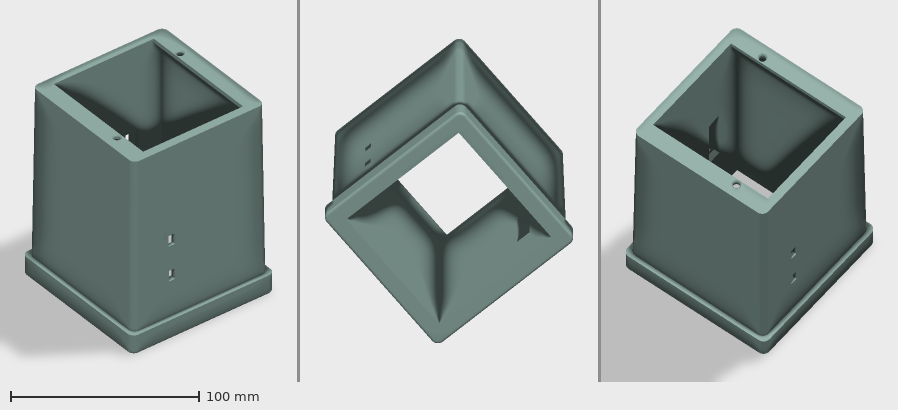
import cadquery as cq
import math

height = 122.5
flange_width = 96.0
flange_height = 12.5
flange_corner_radius = 4.2
flange_bottom_radius = 1.6

body_base_width = 90.6
body_top_width = 88.2
body_corner_radius = 3.9
body_height = height - flange_height
taper_angle = math.degrees(math.atan((body_base_width - body_top_width) / 2 / body_height))

shaft_width = 77.5
opening_depth = 67.1
lip_thickness = 2.6

screw_x = 20.0
screw_y = 36.6
screw_diameter = 3.9
countersink_diameter = 5.4
countersink_angle = 90.0

slot_y = 19.0
slot_width = 4.2
slot_height = 6.9
slot_centers_z = (38.8, 61.6)

relief_margin = 2.5
relief_outer_x = 42.5


def make_flange():
    flange = cq.Workplane("XY").rect(flange_width, flange_width).extrude(flange_height)
    flange = flange.edges("|Z").fillet(flange_corner_radius)
    return flange.faces("<Z").edges().fillet(flange_bottom_radius)


def make_body():
    body = cq.Workplane("XY").workplane(offset=flange_height).rect(body_base_width, body_base_width)
    body = body.extrude(body_height, taper=taper_angle)
    slanted_edges = body.edges("not #Z")
    return slanted_edges.fillet(body_corner_radius)


def make_interior():
    shaft_height = height - lip_thickness
    shaft = cq.Workplane("XY").rect(shaft_width, shaft_width).extrude(shaft_height)
    opening = cq.Workplane("XY").rect(shaft_width, opening_depth).extrude(height)
    return shaft.union(opening)


def make_side_slots(side):
    """Slots in the wall facing side * X; the two walls match by a half turn about Z."""
    length = (flange_width - shaft_width) / 2
    center_x = side * (shaft_width + length) / 2
    centers = [(center_x, -side * slot_y, z) for z in slot_centers_z]
    return cq.Workplane("XY").pushPoints(centers).box(length, slot_width, slot_height)


def make_wall_relief(side):
    """Recess on the inner face of the wall facing side * X, spanning both slots."""
    length = relief_outer_x - shaft_width / 2
    center_x = side * (shaft_width / 2 + length / 2)
    center_z = sum(slot_centers_z) / len(slot_centers_z)
    width = slot_width + 2 * relief_margin
    relief_height = max(slot_centers_z) - min(slot_centers_z) + slot_height + 2 * relief_margin
    relief = cq.Workplane("XY").box(length, width, relief_height)
    return relief.translate((center_x, -side * slot_y, center_z))


result = make_flange().union(make_body()).cut(make_interior())
for side in (-1, 1):
    result = result.cut(make_side_slots(side)).cut(make_wall_relief(side))

screw_points = [(-screw_x, screw_y), (screw_x, -screw_y)]
result = (
    result.faces(">Z").workplane(origin=(0, 0, height)).pushPoints(screw_points)
    .cskHole(screw_diameter, countersink_diameter, countersink_angle)
)